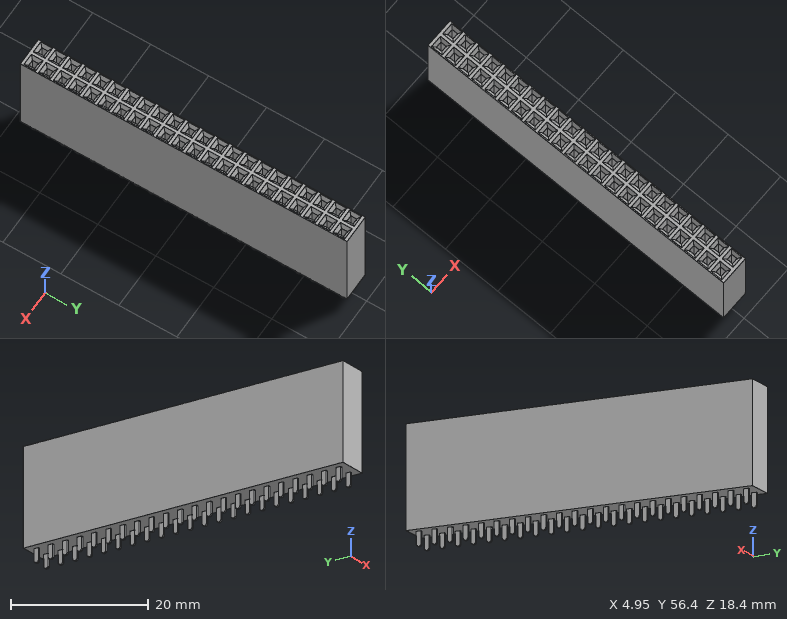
import cadquery as cq

housing_width = 4.95
housing_length = 56.4
housing_height = 16.1

pitch = 2.55
columns = 2
rows = 22

funnel_mouth = 2.05
funnel_depth = 0.5
hole_side = 1.0
hole_depth = 9.0

pin_thickness = 0.35
pin_width = 0.8
pin_length = 2.3


def contact_grid(base):
    """Place a workplane point at every contact position."""
    return base.rarray(pitch, pitch, columns, rows)


def make_housing():
    return cq.Workplane("XY").box(
        housing_width, housing_length, housing_height, centered=(True, True, False)
    )


def make_socket():
    """Void of one socket, with its mouth at Z = 0 and extending downward."""
    funnel = (
        cq.Workplane("XY")
        .rect(funnel_mouth, funnel_mouth)
        .workplane(offset=-funnel_depth)
        .rect(hole_side, hole_side)
        .loft(ruled=True)
    )
    hole = (
        cq.Workplane("XY", origin=(0, 0, -funnel_depth))
        .rect(hole_side, hole_side)
        .extrude(funnel_depth - hole_depth)
    )
    return funnel.union(hole).val()


def make_pin():
    """One pin, hanging below Z = 0."""
    tip_radius = pin_width / 2
    shoulder_z = tip_radius - pin_length
    return (
        cq.Workplane("YZ")
        .moveTo(-pin_width / 2, 0)
        .lineTo(pin_width / 2, 0)
        .lineTo(pin_width / 2, shoulder_z)
        .threePointArc((0, -pin_length), (-pin_width / 2, shoulder_z))
        .close()
        .extrude(pin_thickness / 2, both=True)
        .val()
    )


socket = make_socket()
pin = make_pin()

sockets = contact_grid(cq.Workplane("XY", origin=(0, 0, housing_height))).eachpoint(
    lambda location: socket.moved(location)
)
pins = contact_grid(cq.Workplane("XY")).eachpoint(lambda location: pin.moved(location))

result = make_housing().cut(sockets).union(pins)